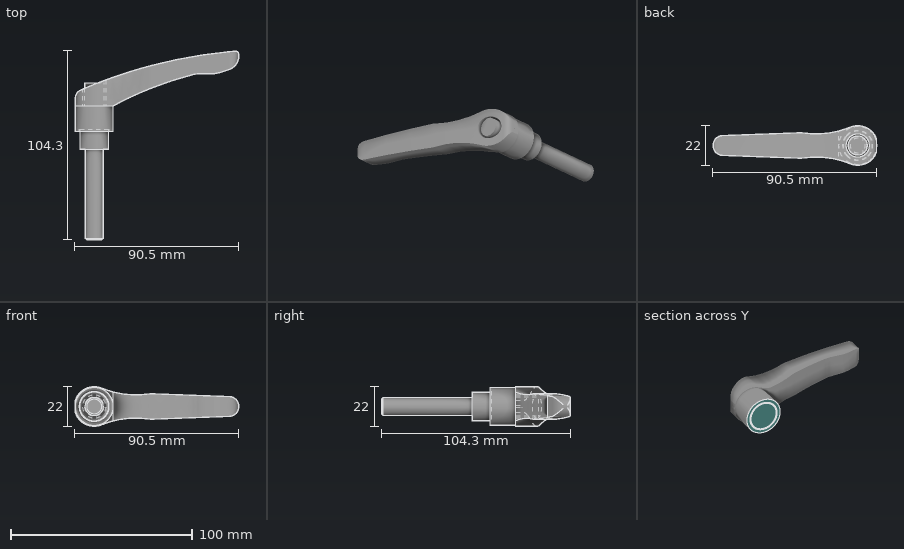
import cadquery as cq
import math


screw_dia = 10.0
screw_length = 50.0
screw_chamfer = 0.9
sleeve_dia = 16.0
hub_dia = 21.0
hub_bottom = 9.85
hub_top = 23.9
hub_bore_dia = 16.6
hub_bore_depth = 1.0

head_dia = 10.6
head_top = 36.7
head_bore_dia = 12.8

boss_dia = 21.96
boss_end_x = 4.77
waist_x = 22.3
waist_half_width = 6.45
grip_start_x = 30.2
grip_start_half_width = 7.0
grip_wide_x = 31.7
grip_wide_half_width = 7.1
tip_start_x = 74.35
tip_half_width = 5.55

total_length_x = 90.51
heel_x = -hub_dia / 2
heel_corner_y = 31.4
heel_radius = 4.9
back_mid = (30.2, 46.0)
back_corner_y = 54.46
underside_rise = (14.7, 26.2)
underside_mid = (31.7, 33.8)
finger_rest_start = (54.8, 41.3)
finger_rest_y = 41.7
finger_rest_flat_start_x = 57.3
finger_rest_flat_end_x = 66.3
finger_rest_end = (69.6, 42.4)
tip_underside = (74.9, 44.15)
nose_mid = (78.35, 46.9)
nose_low_y = 50.8
nose_radius = 2.0

rib_width = 1.0
rib_height = 3.8
rib_depth = 0.1

tip_x = total_length_x + heel_x - rib_depth
above_handle_y = 2 * back_corner_y


def cylinder(diameter, bottom, top):
    """Cylinder on the Y axis between two Y levels."""
    length = top - bottom
    return cq.Workplane("XZ", origin=(0, bottom, 0)).circle(diameter / 2).extrude(-length)


def handle_profile():
    """Bent handle seen along Z, extruded wider than the boss."""
    profile = (
        cq.Workplane("XY")
        .moveTo(heel_x, hub_top)
        .lineTo(heel_x, heel_corner_y)
        .threePointArc(back_mid, (tip_x, back_corner_y))
        .lineTo(tip_x, nose_low_y)
        .threePointArc(nose_mid, tip_underside)
        .lineTo(*finger_rest_end)
        .lineTo(finger_rest_flat_end_x, finger_rest_y)
        .lineTo(finger_rest_flat_start_x, finger_rest_y)
        .lineTo(*finger_rest_start)
        .threePointArc(underside_mid, underside_rise)
        .lineTo(hub_dia / 2, hub_top)
        .close()
        .extrude(boss_dia, both=True)
    )
    heel_edge = cq.selectors.NearestToPointSelector((heel_x, heel_corner_y, 0))
    nose_edge = cq.selectors.NearestToPointSelector((tip_x, back_corner_y, 0))
    return profile.edges(heel_edge).fillet(heel_radius).edges(nose_edge).fillet(nose_radius)


def handle_plan():
    """Round boss, waist, tapered grip and round tip seen along Y."""
    boss_radius = boss_dia / 2
    boss_end_z = math.sqrt(boss_radius**2 - boss_end_x**2)
    plan = (
        cq.Workplane("XZ")
        .moveTo(boss_end_x, boss_end_z)
        .threePointArc((waist_x, waist_half_width), (grip_start_x, grip_start_half_width))
        .lineTo(grip_wide_x, grip_wide_half_width)
        .lineTo(tip_start_x, tip_half_width)
        .threePointArc((tip_x, 0), (tip_start_x, -tip_half_width))
        .lineTo(grip_wide_x, -grip_wide_half_width)
        .lineTo(grip_start_x, -grip_start_half_width)
        .threePointArc((waist_x, -waist_half_width), (boss_end_x, -boss_end_z))
        .threePointArc((-boss_radius, 0), (boss_end_x, boss_end_z))
        .close()
    )
    return plan.extrude(-above_handle_y)


def handle():
    """Handle with its pointer rib and the open bore over the screw head."""
    body = handle_profile().intersect(handle_plan())
    bore = cylinder(head_bore_dia, hub_top, above_handle_y)
    rib = cq.Workplane("XY").box(2 * rib_depth, rib_height, rib_width)
    rib = rib.translate((heel_x, hub_top + rib_height / 2, 0))
    return body.cut(bore).union(rib)


def hub():
    """Hub with a shallow clearance bore around the sleeve."""
    clearance = cylinder(hub_bore_dia, hub_bottom, hub_bottom + hub_bore_depth)
    return cylinder(hub_dia, hub_bottom, hub_top).cut(clearance)


def screw():
    """Plain shank with a chamfered end, sleeve and head."""
    shank = cylinder(screw_dia, -screw_length, 0).faces("<Y").chamfer(screw_chamfer)
    sleeve = cylinder(sleeve_dia, 0, hub_top)
    head = cylinder(head_dia, hub_top, head_top)
    return shank.union(sleeve).union(head)


result = handle().union(hub()).union(screw())